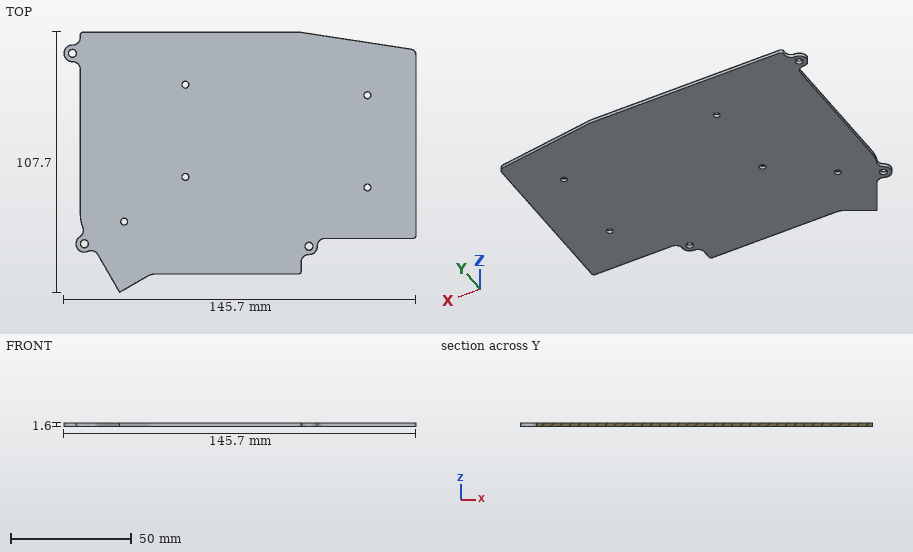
import cadquery as cq
import math

length = 145.7
width = 107.7
thickness = 1.6
left_wall_x = 6.7
bottom_edge_y = 7.6

step_wall_x = 98.2
step_edge_y = 22.3

top_slope_start_x = 98.1
top_slope_angle = 8.7

foot_tip_x = 23.0
foot_angle = 30.0

square_corner_radius = 1.2
top_right_radius = 2.5
foot_start_radius = 16.0
foot_end_radius = 7.0

ear_radius = 3.5
ear_hole_diameter = 3.2
ear_blend_radius = 3.0
upper_ear = (ear_radius, 99.0)
lower_ear = (8.5, 20.1)
step_ear = (101.5, 19.1)
ears = [upper_ear, lower_ear, step_ear]

hole_diameter = 2.8
hole_pair_spacing = 38.2
middle_pair = (50.3, 47.8)
right_pair = (125.6, 43.5)
foot_hole = (24.9, 29.3)

match_tolerance = 0.001


def tangent(degrees):
    return math.tan(math.radians(degrees))


top_right = (length, width - (length - top_slope_start_x) * tangent(top_slope_angle))
top_left = (left_wall_x, width)
bottom_right = (length, step_edge_y)
step_bottom = (step_wall_x, bottom_edge_y)
foot_end = (foot_tip_x + bottom_edge_y / tangent(foot_angle), bottom_edge_y)
foot_start = (left_wall_x, (foot_tip_x - left_wall_x) / tangent(foot_angle))


def round_corner(body, corner, radius):
    """Round the upright edge that stands at a corner of the outline."""
    nearest = cq.selectors.NearestToPointSelector((*corner, thickness / 2))
    return body.edges("|Z").edges(nearest).fillet(radius)


def make_plate():
    outline = [
        top_left,
        (top_slope_start_x, width),
        top_right,
        bottom_right,
        (step_ear[0], step_edge_y),
        (step_wall_x, step_ear[1]),
        step_bottom,
        foot_end,
        (foot_tip_x, 0),
        foot_start,
    ]
    plate = cq.Workplane("XY").polyline(outline).close().extrude(thickness)
    for corner in (top_left, bottom_right, step_bottom):
        plate = round_corner(plate, corner, square_corner_radius)
    plate = round_corner(plate, foot_start, foot_start_radius)
    plate = round_corner(plate, foot_end, foot_end_radius)
    return round_corner(plate, top_right, top_right_radius)


def add_ear(body, center):
    """Join a round ear to the plate and blend both places where it meets the edge."""
    ear = cq.Workplane("XY").center(*center).circle(ear_radius).extrude(thickness)
    body = body.union(ear)

    def is_joint(edge):
        middle = edge.Center()
        distance = math.dist((middle.x, middle.y), center)
        on_rim = math.isclose(distance, ear_radius, abs_tol=match_tolerance)
        is_seam = math.isclose(middle.y, center[1], abs_tol=match_tolerance)
        return on_rim and not is_seam

    joints = body.edges("|Z").filter(is_joint)
    return joints.fillet(ear_blend_radius)


def drill(body, centers, diameter):
    pins = cq.Workplane("XY").pushPoints(centers).circle(diameter / 2).extrude(thickness)
    return body.cut(pins)


result = make_plate()
for ear_center in ears:
    result = add_ear(result, ear_center)
result = drill(result, ears, ear_hole_diameter)

plate_holes = [foot_hole]
for x, y in (middle_pair, right_pair):
    plate_holes += [(x, y), (x, y + hole_pair_spacing)]
result = drill(result, plate_holes, hole_diameter)